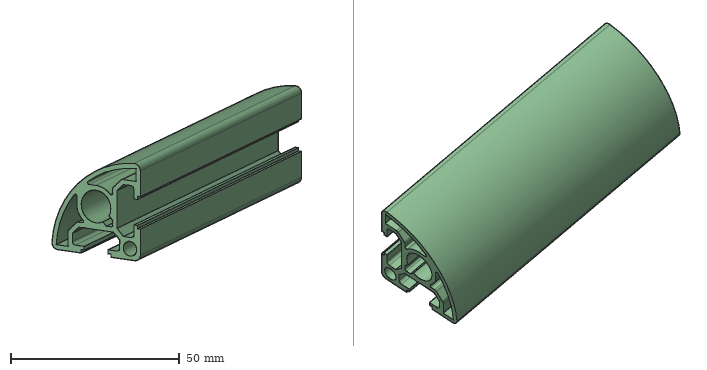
import cadquery as cq
import math

length = 100.0
half_side = 15.0
outer_radius = 2 * half_side
edge_radius = 2.0
wall = 1.5

bore_radius = 5.0
ring_radius = bore_radius + wall
pin_hole_diameter = 4.5
pin_hole_place = 11.5

mouth_half_width = 5.0
lip_half_width = 4.0
slot_half_width = 8.0
slot_floor = 7.1
slot_chamfer = 2.2
slot_corner_radius = 1.0
lip_inner_level = 12.8
lip_step_level = 14.0

cavity_fillet = 0.5
slope_fillet = 1.0
relief_edge = 2.1
relief_corner_radius = 0.5
inner_wall = slot_floor - wall

section_plane = cq.Workplane("XZ", origin=(0, length / 2, 0))


def mirrored_pair(solid):
    """Return the solid and its twin about the section diagonal x = -z."""
    twin = solid.rotate((0, 0, 0), (1, 0, -1), 180)
    return solid, twin


def make_body():
    """Square corner joined to a quarter round centred on that corner."""
    square = section_plane.rect(2 * half_side, 2 * half_side).extrude(length)
    cylinder = section_plane.center(half_side, -half_side).circle(outer_radius).extrude(length)
    return square.intersect(cylinder).edges("|Y").fillet(edge_radius)


def make_slot():
    """T-slot opening through the -Z face, with a stepped mouth."""
    floor_half_width = slot_half_width - slot_chamfer
    right_side = [
        (floor_half_width, -slot_floor),
        (slot_half_width, -slot_floor - slot_chamfer),
        (slot_half_width, -lip_inner_level),
        (lip_half_width, -lip_inner_level),
        (lip_half_width, -lip_step_level),
        (mouth_half_width, -lip_step_level),
        (mouth_half_width, -half_side),
    ]
    left_side = [(-x, z) for x, z in reversed(right_side)]
    slot = section_plane.polyline(right_side + left_side).close().extrude(length)
    for side in (-1, 1):
        corner = cq.selectors.NearestToPointSelector((side * slot_half_width, 0, -lip_inner_level))
        slot = slot.edges(corner).fillet(slot_corner_radius)
    return slot


def make_cavity():
    """Hollow between the curved skin, the bore ring and the slot wall."""
    skin_radius = outer_radius - wall
    bottom = -half_side + wall
    slot_wall = -slot_half_width - wall
    slope_offset = slot_half_width - slot_floor - slot_chamfer + wall * math.sqrt(2)

    skin_foot_x = half_side - math.sqrt(skin_radius**2 - wall**2)
    skin_middle = (
        half_side - skin_radius * math.cos(math.pi / 8),
        -half_side + skin_radius * math.sin(math.pi / 8),
    )
    tip_z = -half_side + math.sqrt(skin_radius**2 - (half_side + ring_radius) ** 2)
    ring_end_x = -math.sqrt(ring_radius**2 - inner_wall**2)
    ring_middle = (-ring_radius * math.sqrt(0.5), -ring_radius * math.sqrt(0.5))

    cavity = (
        section_plane.moveTo(skin_foot_x, bottom)
        .lineTo(slot_wall, bottom)
        .lineTo(slot_wall, slot_wall + slope_offset)
        .lineTo(-inner_wall - slope_offset, -inner_wall)
        .lineTo(ring_end_x, -inner_wall)
        .threePointArc(ring_middle, (-ring_radius, 0))
        .lineTo(-ring_radius, tip_z)
        .threePointArc(skin_middle, (skin_foot_x, bottom))
        .close()
        .extrude(length)
    )
    rounded_corners = (
        (ring_end_x, -inner_wall, cavity_fillet),
        (-ring_radius, tip_z, cavity_fillet),
        (slot_wall, slot_wall + slope_offset, slope_fillet),
        (-inner_wall - slope_offset, -inner_wall, slope_fillet),
    )
    for x, z, radius in rounded_corners:
        corner = cq.selectors.NearestToPointSelector((x, 0, z))
        cavity = cavity.edges(corner).fillet(radius)
    return cavity


def make_bore():
    """Round bore with a rounded relief towards the square corner."""
    inner_end = inner_wall - relief_edge
    relief = (
        section_plane.moveTo(inner_wall, -inner_wall)
        .lineTo(inner_wall, -inner_end)
        .lineTo(inner_wall - inner_end, 0)
        .lineTo(0, inner_end - inner_wall)
        .lineTo(inner_end, -inner_wall)
        .close()
        .extrude(length)
    )
    corner = cq.selectors.NearestToPointSelector((inner_wall, 0, -inner_wall))
    relief = relief.edges(corner).fillet(relief_corner_radius)
    return section_plane.circle(bore_radius).extrude(length).union(relief)


def make_pin_hole():
    """Small through hole in the square corner."""
    centre = section_plane.center(pin_hole_place, -pin_hole_place)
    return centre.circle(pin_hole_diameter / 2).extrude(length)


result = make_body().cut(make_bore()).cut(make_pin_hole())
for hollow in (make_slot(), make_cavity()):
    for twin in mirrored_pair(hollow):
        result = result.cut(twin)